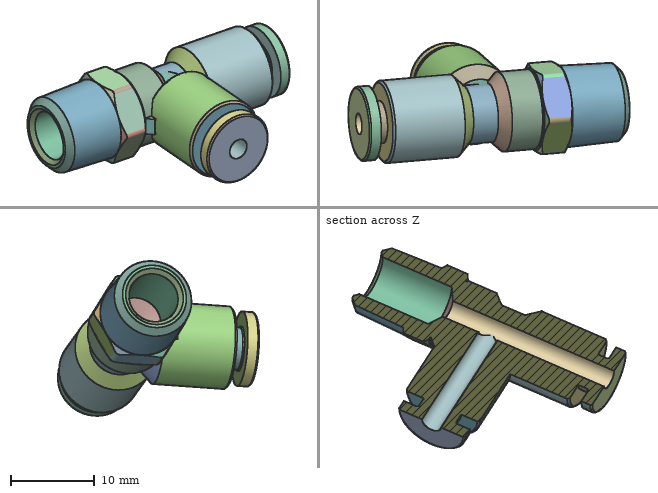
import cadquery as cq
import math


OVERALL_LENGTH = 32.9

ARM_LENGTH = 15.82
COLLAR_RADIUS = 4.5
COLLAR_THICKNESS = 1.45
COLLAR_CHAMFER = 0.2
SLEEVE_RADIUS = 2.55
SLEEVE_FLARE = 0.15
SOCKET_RADIUS = 5.0
SOCKET_START = 3.98
SOCKET_END = 13.0
SOCKET_CHAMFER = 0.25
NECK_RADIUS = 3.55
NECK_END = 2.47

SWIVEL_RADIUS = 4.85
SWIVEL_CONE_TOP = -0.65
SWIVEL_CONE_BOTTOM = -2.0
SWIVEL_CHAMFER = 0.2

HEX_TOP = -6.02
HEX_BOTTOM = -9.57
HEX_SIDES = 6
HEX_ACROSS_FLATS = 2 * SOCKET_RADIUS
HEX_CORNER_FILLET = 0.65
HEX_END_ANGLE = 30

THREAD_END = ARM_LENGTH - OVERALL_LENGTH
THREAD_RADIUS = 4.97
THREAD_TAPER = 1 / 32
THREAD_CHAMFER = 0.82

RIB_WIDTH = 2.1
RIB_REACH = 5.6

PASSAGE_DIAMETER = 2.53
BORE_RADIUS = 3.03
BORE_DEPTH = 9.87
BORE_CHAMFER = 0.53
DRILL_POINT_ANGLE = 118


def turned(points):
    """Revolve a (radius, y) outline around the Y axis."""
    return cq.Workplane("XY").polyline(points).close().revolve(360, (0, 0, 0), (0, 1, 0))


def push_in_arm():
    """Neck, socket, sleeve and release collar along +Y."""
    collar_start = ARM_LENGTH - COLLAR_THICKNESS
    return turned([
        (0, 0),
        (NECK_RADIUS, 0),
        (NECK_RADIUS, NECK_END),
        (SOCKET_RADIUS, SOCKET_START),
        (SOCKET_RADIUS, SOCKET_END - SOCKET_CHAMFER),
        (SOCKET_RADIUS - SOCKET_CHAMFER, SOCKET_END),
        (SLEEVE_RADIUS, SOCKET_END),
        (SLEEVE_RADIUS, collar_start - SLEEVE_FLARE),
        (SLEEVE_RADIUS + SLEEVE_FLARE, collar_start),
        (COLLAR_RADIUS, collar_start),
        (COLLAR_RADIUS, ARM_LENGTH - COLLAR_CHAMFER),
        (COLLAR_RADIUS - COLLAR_CHAMFER, ARM_LENGTH),
        (0, ARM_LENGTH),
    ])


def swivel_and_thread():
    """Lower neck, swivel collar and tapered thread in one turned body."""
    thread_length = HEX_BOTTOM - (THREAD_END + THREAD_CHAMFER)
    thread_tip_radius = THREAD_RADIUS - thread_length * THREAD_TAPER
    return turned([
        (0, 0),
        (NECK_RADIUS, 0),
        (NECK_RADIUS, SWIVEL_CONE_TOP),
        (SWIVEL_RADIUS, SWIVEL_CONE_BOTTOM),
        (SWIVEL_RADIUS, HEX_TOP + SWIVEL_CHAMFER),
        (SWIVEL_RADIUS - SWIVEL_CHAMFER, HEX_TOP),
        (SWIVEL_RADIUS - SWIVEL_CHAMFER, HEX_BOTTOM),
        (THREAD_RADIUS, HEX_BOTTOM),
        (thread_tip_radius, THREAD_END + THREAD_CHAMFER),
        (thread_tip_radius - THREAD_CHAMFER, THREAD_END),
        (0, THREAD_END),
    ])


def hexagon():
    """Hexagon with rounded corners, both ends turned to a shallow cone."""
    across_corners = HEX_ACROSS_FLATS / math.cos(math.pi / HEX_SIDES)
    corner_radius = across_corners / 2
    flat_radius = HEX_ACROSS_FLATS / 2
    end_drop = (corner_radius - flat_radius) * math.tan(math.radians(HEX_END_ANGLE))
    prism = (
        cq.Workplane("XZ", origin=(0, HEX_TOP, 0))
        .polygon(HEX_SIDES, across_corners)
        .extrude(HEX_TOP - HEX_BOTTOM)
        .edges("|Y")
        .fillet(HEX_CORNER_FILLET)
    )
    envelope = turned([
        (0, HEX_TOP),
        (flat_radius, HEX_TOP),
        (corner_radius, HEX_TOP - end_drop),
        (corner_radius, HEX_BOTTOM + end_drop),
        (flat_radius, HEX_BOTTOM),
        (0, HEX_BOTTOM),
    ])
    return prism.intersect(envelope)


def rib():
    """Block under the branch whose lower edge slopes at 45 degrees to the swivel collar."""
    bottom = HEX_TOP + SWIVEL_CHAMFER
    slope_top = bottom + RIB_REACH - SWIVEL_RADIUS
    return (
        cq.Workplane("XY")
        .polyline([
            (0, bottom),
            (SWIVEL_RADIUS, bottom),
            (RIB_REACH, slope_top),
            (RIB_REACH, 0),
            (0, 0),
        ])
        .close()
        .extrude(RIB_WIDTH / 2, both=True)
    )


def thread_bore():
    """Chamfered bore from the thread end with a drill-point bottom."""
    bore_bottom = THREAD_END + BORE_DEPTH
    point_depth = BORE_RADIUS / math.tan(math.radians(DRILL_POINT_ANGLE / 2))
    return turned([
        (0, THREAD_END),
        (BORE_RADIUS + BORE_CHAMFER, THREAD_END),
        (BORE_RADIUS, THREAD_END + BORE_CHAMFER),
        (BORE_RADIUS, bore_bottom),
        (0, bore_bottom + point_depth),
    ])


def passage(start, end):
    """Straight passage along the Y axis."""
    return cq.Workplane("XZ", origin=(0, end, 0)).circle(PASSAGE_DIAMETER / 2).extrude(end - start)


def onto_branch(body):
    """Turn a body lying along +Y onto +X."""
    return body.rotate((0, 0, 0), (0, 0, 1), -90)


result = (
    push_in_arm()
    .union(onto_branch(push_in_arm()))
    .union(swivel_and_thread())
    .union(hexagon())
    .union(rib())
    .cut(thread_bore())
    .cut(passage(THREAD_END, ARM_LENGTH))
    .cut(onto_branch(passage(0, ARM_LENGTH)))
)